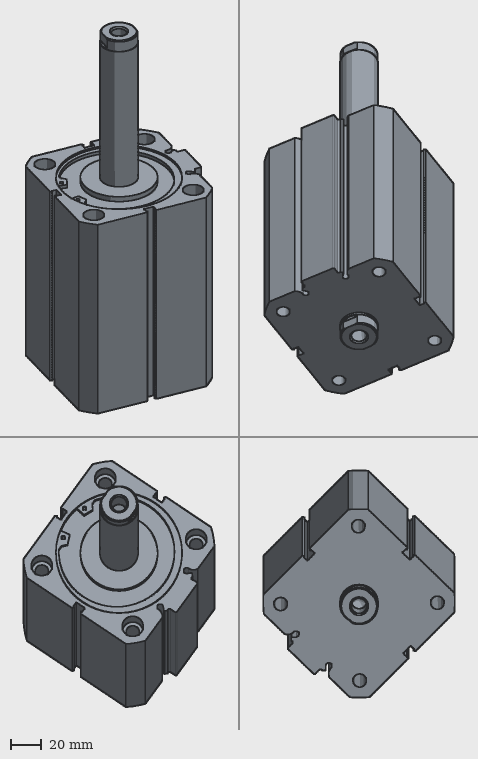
import cadquery as cq
import math

HOUSING_HEIGHT = 142.3
HOUSING_HALF_WIDTH = 48.2
CORNER_RADIUS = 62.0

RAIL_HALF_WIDTH = 12.3
RAIL_TOP_Y = 53.7
RAIL_FILLET = 0.8
LOBE_TIP_X = 15.5
LOBE_CHAMFER = 1.3
GROOVE_CENTER = (15.0, 43.0)
GROOVE_RADIUS = 1.96
GROOVE_FLARE_RADIUS = 5.8

SLOT_MOUTH_WIDTH = 6.5
SLOT_THROAT_WIDTH = 5.0
SLOT_INNER_WIDTH = 6.8
SLOT_LIP = 1.3
SLOT_DEPTH = 4.7

MOUNT_SPACING = 71.8
MOUNT_HOLE_DIAMETER = 8.6
MOUNT_CBORE_DIAMETER = 13.5
MOUNT_CBORE_DEPTH = 13.0

RECESS_RADIUS = 41.0
RING_TOP_DROP = 1.3
RING_THICKNESS = 2.4
COVER_THICKNESS = 15.7
BOSS_DIAMETER = 50.0

RING_INNER_RADIUS = 37.5
RING_INNER_OFFSET = 1.8
LUG_SHOULDER_Y = -33.3
LUG_SHOULDER_X = 17.3
LUG_PEAK = (14.5, -30.7)
LUG_TIP = (8.0, -33.3)
LUG_END_X = 9.2
LUG_HOLE_CENTER = (12.0, -35.6)
LUG_HOLE_DIAMETER = 2.4

ROD_DIAMETER = 25.0
ROD_TOP_REACH = 109.8
ROD_BOTTOM_REACH = 10.0
HEAD_LENGTH = 8.0
HEAD_DIAMETER = 24.4
HEAD_FLAT_DISTANCE = 22.0
HEAD_CHAMFER = 0.8
SOCKET_RADIUS = 5.0
SOCKET_MOUTH_RADIUS = 6.0
SOCKET_DEPTH = 18.3
SOCKET_TIP_ANGLE = 120.0

ROD_RADIUS = ROD_DIAMETER / 2
HEAD_RADIUS = HEAD_DIAMETER / 2

RING_TOP_Z = HOUSING_HEIGHT - RING_TOP_DROP
COVER_FACE_Z = RING_TOP_Z - RING_THICKNESS
RECESS_FLOOR_Z = COVER_FACE_Z - COVER_THICKNESS
ROD_TOP_Z = HOUSING_HEIGHT + ROD_TOP_REACH
ROD_BOTTOM_Z = -ROD_BOTTOM_REACH


def cylinder(radius, bottom_z, top_z):
    return cq.Workplane("XY").workplane(offset=bottom_z).circle(radius).extrude(top_z - bottom_z)


def housing_prism(outline):
    """Prism of a closed XY outline over the full housing height."""
    return outline.close().extrude(HOUSING_HEIGHT)


def rail():
    """Rail bar with rounded top edges and filleted feet, deep enough to fuse with the housing."""
    half = RAIL_HALF_WIDTH
    foot_x = half + RAIL_FILLET
    foot_top_y = HOUSING_HALF_WIDTH + RAIL_FILLET
    shoulder_y = RAIL_TOP_Y - RAIL_FILLET
    outline = (
        cq.Workplane("XY")
        .moveTo(-foot_x, RECESS_RADIUS)
        .lineTo(foot_x, RECESS_RADIUS)
        .lineTo(foot_x, HOUSING_HALF_WIDTH)
        .radiusArc((half, foot_top_y), RAIL_FILLET)
        .lineTo(half, shoulder_y)
        .radiusArc((half - RAIL_FILLET, RAIL_TOP_Y), -RAIL_FILLET)
        .lineTo(RAIL_FILLET - half, RAIL_TOP_Y)
        .radiusArc((-half, shoulder_y), -RAIL_FILLET)
        .lineTo(-half, foot_top_y)
        .radiusArc((-foot_x, HOUSING_HALF_WIDTH), RAIL_FILLET)
    )
    return housing_prism(outline)


def rail_groove():
    """Groove on the +X side of the rail: a flared outer wall, a round floor and a lobed inner wall."""
    center_x, center_y = GROOVE_CENTER
    diagonal = GROOVE_RADIUS * math.sqrt(0.5)
    outer_x = center_x + GROOVE_RADIUS
    flare_center_x = outer_x + GROOVE_FLARE_RADIUS
    flare_angle = math.asin((HOUSING_HALF_WIDTH - center_y) / GROOVE_FLARE_RADIUS)
    flare_top_x = flare_center_x - GROOVE_FLARE_RADIUS * math.cos(flare_angle)
    flare_mid = (
        flare_center_x - GROOVE_FLARE_RADIUS * math.cos(flare_angle / 2),
        center_y + GROOVE_FLARE_RADIUS * math.sin(flare_angle / 2),
    )
    undercut_x = center_x - diagonal
    undercut_y = center_y + diagonal
    outline = (
        cq.Workplane("XY")
        .moveTo(LOBE_TIP_X - LOBE_CHAMFER, HOUSING_HALF_WIDTH)
        .lineTo(flare_top_x, HOUSING_HALF_WIDTH)
        .threePointArc(flare_mid, (outer_x, center_y))
        .threePointArc((center_x - diagonal, center_y - diagonal), (undercut_x, undercut_y))
        .lineTo(LOBE_TIP_X, undercut_y + LOBE_TIP_X - undercut_x)
        .lineTo(LOBE_TIP_X, HOUSING_HALF_WIDTH - LOBE_CHAMFER)
    )
    return housing_prism(outline)


def sensor_slot():
    """T-slot in the +X face, its mouth narrowing inward between the lips."""
    lip_x = HOUSING_HALF_WIDTH - SLOT_LIP
    floor_x = HOUSING_HALF_WIDTH - SLOT_DEPTH
    mouth = SLOT_MOUTH_WIDTH / 2
    throat = SLOT_THROAT_WIDTH / 2
    inner = SLOT_INNER_WIDTH / 2
    outline = (
        cq.Workplane("XY")
        .moveTo(HOUSING_HALF_WIDTH, -mouth)
        .lineTo(lip_x, -throat)
        .lineTo(lip_x, -inner)
        .lineTo(floor_x, -inner)
        .lineTo(floor_x, inner)
        .lineTo(lip_x, inner)
        .lineTo(lip_x, throat)
        .lineTo(HOUSING_HALF_WIDTH, mouth)
    )
    return housing_prism(outline)


def make_housing():
    width = 2 * HOUSING_HALF_WIDTH
    block = cq.Workplane("XY").rect(width, width).extrude(HOUSING_HEIGHT)
    block = block.intersect(cylinder(CORNER_RADIUS, 0, HOUSING_HEIGHT))
    block = block.union(rail())

    groove = rail_groove()
    block = block.cut(groove).cut(groove.mirror("YZ"))
    for angle in (0, 180, 270):
        block = block.cut(sensor_slot().rotate((0, 0, 0), (0, 0, 1), angle))

    block = (
        block.faces(">Z")
        .workplane(origin=(0, 0, HOUSING_HEIGHT))
        .rect(MOUNT_SPACING, MOUNT_SPACING, forConstruction=True)
        .vertices()
        .cboreHole(MOUNT_HOLE_DIAMETER, MOUNT_CBORE_DIAMETER, MOUNT_CBORE_DEPTH)
    )
    block = block.cut(cylinder(RECESS_RADIUS, RECESS_FLOOR_Z, HOUSING_HEIGHT))
    return block.cut(cylinder(ROD_RADIUS, 0, HOUSING_HEIGHT))


def make_cover():
    """Disc with a raised boss level with the housing top, bored for the rod."""
    disc = cylinder(RECESS_RADIUS, RECESS_FLOOR_Z, COVER_FACE_Z)
    boss = cylinder(BOSS_DIAMETER / 2, COVER_FACE_Z, HOUSING_HEIGHT)
    return disc.union(boss).cut(cylinder(ROD_RADIUS, RECESS_FLOOR_Z, HOUSING_HEIGHT))


def make_retaining_ring():
    """Open ring resting on the cover: outer circle on the recess wall, inner circle set toward -Y."""
    lug_end_y = -math.sqrt(RECESS_RADIUS**2 - LUG_END_X**2)
    shoulder_rise = LUG_SHOULDER_Y + RING_INNER_OFFSET
    ring_end_x = math.sqrt(RING_INNER_RADIUS**2 - shoulder_rise**2)
    outline = (
        cq.Workplane("XY")
        .workplane(offset=COVER_FACE_Z)
        .moveTo(LUG_END_X, lug_end_y)
        .threePointArc((0, RECESS_RADIUS), (-LUG_END_X, lug_end_y))
        .lineTo(-LUG_TIP[0], LUG_TIP[1])
        .lineTo(-LUG_PEAK[0], LUG_PEAK[1])
        .lineTo(-LUG_SHOULDER_X, LUG_SHOULDER_Y)
        .lineTo(-ring_end_x, LUG_SHOULDER_Y)
        .threePointArc((0, RING_INNER_RADIUS - RING_INNER_OFFSET), (ring_end_x, LUG_SHOULDER_Y))
        .lineTo(LUG_SHOULDER_X, LUG_SHOULDER_Y)
        .lineTo(*LUG_PEAK)
        .lineTo(*LUG_TIP)
        .close()
    )
    ring = outline.extrude(RING_THICKNESS)
    hole_x, hole_y = LUG_HOLE_CENTER
    for side in (-1, 1):
        hole = cylinder(LUG_HOLE_DIAMETER / 2, COVER_FACE_Z, RING_TOP_Z)
        ring = ring.cut(hole.translate((side * hole_x, hole_y, 0)))
    return ring


def head_flats():
    """Material outside the two wrench flats of a head whose end face is at Z = 0, pointing up.

    Each flat runs out to the rod surface along a 45 degree slope that ends where the head ends.
    """
    flat_y = HEAD_FLAT_DISTANCE / 2
    runout = ROD_RADIUS - flat_y
    side = (
        cq.Workplane("YZ")
        .moveTo(flat_y, 0)
        .lineTo(flat_y, runout - HEAD_LENGTH)
        .lineTo(ROD_RADIUS, -HEAD_LENGTH)
        .lineTo(ROD_RADIUS, 0)
        .close()
        .extrude(ROD_RADIUS, both=True)
    )
    return side.union(side.mirror("XZ"))


def head_relief():
    """Thin sleeve around the head: it leaves the head below the rod diameter, with a chamfered rim."""
    sleeve = cylinder(ROD_RADIUS, -HEAD_LENGTH, 0)
    core = cylinder(HEAD_RADIUS, -HEAD_LENGTH, 0).faces(">Z").chamfer(HEAD_CHAMFER)
    return sleeve.cut(core)


def head_socket():
    """Blind hole with a chamfered mouth and a drill-point floor, opening at Z = 0."""
    mouth_chamfer = SOCKET_MOUTH_RADIUS - SOCKET_RADIUS
    tip_depth = SOCKET_RADIUS / math.tan(math.radians(SOCKET_TIP_ANGLE / 2))
    return (
        cq.Workplane("XZ")
        .lineTo(SOCKET_MOUTH_RADIUS, 0)
        .lineTo(SOCKET_RADIUS, -mouth_chamfer)
        .lineTo(SOCKET_RADIUS, -SOCKET_DEPTH)
        .lineTo(0, -SOCKET_DEPTH - tip_depth)
        .close()
        .revolve(360, (0, 0, 0), (0, 1, 0))
    )


def make_rod():
    rod = cylinder(ROD_RADIUS, ROD_BOTTOM_Z, ROD_TOP_Z)
    for cutter in (head_relief(), head_flats(), head_socket()):
        rod = rod.cut(cutter.translate((0, 0, ROD_TOP_Z)))
        rod = rod.cut(cutter.mirror("XY").translate((0, 0, ROD_BOTTOM_Z)))
    return rod


housing = make_housing()
cover = make_cover()
retaining_ring = make_retaining_ring()
rod = make_rod()

result = cq.Compound.makeCompound(
    [
        housing.solids().val(),
        cover.solids().val(),
        retaining_ring.solids().val(),
        rod.solids().val(),
    ]
)